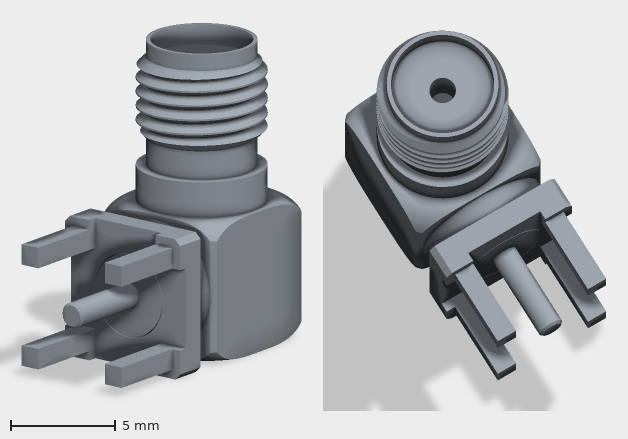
import cadquery as cq
import math

BLOCK = 7.0
BLOCK_EDGE_CHAMFER = 0.24
CROWN_RADIUS = 1.5

TOTAL_HEIGHT = 15
COLLAR_DIAMETER = 6.33
COLLAR_TOP = 8.76
NECK_DIAMETER = 5.35
THREAD_BOTTOM = 10.17
THREAD_TOP = 14.19
THREAD_DIAMETER = COLLAR_DIAMETER
THREAD_PITCH = 0.7
THREAD_CREST_WIDTH = 0.09
THREAD_FLANK_ANGLE = math.radians(30)
THREAD_EMBED = 0.022
RIDGE_START = 9.15
MOUTH_DIAMETER = 4.95
MOUTH_DEPTH = 1.0
SOCKET_DIAMETER = 1.28
SOCKET_DEPTH = 3
CONTACT_HEIGHT = 0.75

FLANGE_DIAMETER = 6.5
FLANGE_LENGTH = 1.05
PLATE_THICKNESS = 1.6
PLATE_CORNER_CHAMFER = 0.3
RELIEF_DEPTH = 0.46
FOOT_SIZE = 1.48
LEG_SIZE = 1.02
LEG_LENGTH = 3.95
PIN_DIAMETER = 1.28
PIN_CHAMFER = 0.12
INSULATOR_DIAMETER = 4.06
INSULATOR_GAP = 0.052
INSULATOR_GAP_DEPTH = 0.45

BLOCK_FRONT = -BLOCK / 2
PLATE_BACK = BLOCK_FRONT - FLANGE_LENGTH
FOOT_FACE = PLATE_BACK - PLATE_THICKNESS
RELIEF_FACE = FOOT_FACE + RELIEF_DEPTH
LEG_END = FOOT_FACE - LEG_LENGTH
AXIS_HEIGHT = BLOCK / 2


def front_plane(y):
    """Plane facing -Y, with its origin on the horizontal axis."""
    return cq.Workplane("XZ", origin=(0, y, AXIS_HEIGHT))


def elbow_block():
    """Cube with chamfered upright edges and rounded crowns at both ends."""
    block = cq.Workplane("XY").rect(BLOCK, BLOCK).extrude(BLOCK)
    block = block.edges("|Z").chamfer(BLOCK_EDGE_CHAMFER)
    crowned = cq.Workplane("XY").circle(BLOCK / 2 + CROWN_RADIUS).extrude(BLOCK)
    crowned = crowned.faces("<Z or >Z").edges().fillet(CROWN_RADIUS)
    return block.intersect(crowned)


def thread():
    """Right-hand helical ridge, trimmed to bevelled ends and rooted in the neck."""
    outer = THREAD_DIAMETER / 2
    root = NECK_DIAMETER / 2
    buried = root - THREAD_EMBED
    crest_half = THREAD_CREST_WIDTH / 2
    base_half = crest_half + (outer - buried) * math.tan(THREAD_FLANK_ANGLE)
    path = cq.Wire.makeHelix(THREAD_PITCH, TOTAL_HEIGHT - RIDGE_START, buried, cq.Vector(0, 0, RIDGE_START))
    ridge = (
        cq.Workplane("XZ", origin=(0, 0, RIDGE_START))
        .polyline([(buried, -base_half), (outer, -crest_half), (outer, crest_half), (buried, base_half)])
        .close()
        .sweep(cq.Workplane(path), isFrenet=True)
    )
    half_length = (THREAD_TOP - THREAD_BOTTOM) / 2
    envelope = (
        cq.Workplane("XZ")
        .polyline([
            (0, THREAD_BOTTOM - root),
            (root + half_length, THREAD_BOTTOM + half_length),
            (0, THREAD_TOP + root),
        ])
        .close()
        .revolve(360, (0, 0), (0, 1))
    )
    return ridge.intersect(envelope)


def barrel():
    """Collar, neck and thread, open at the top with a bevelled contact deep in its socket."""
    collar = cq.Workplane("XY", origin=(0, 0, BLOCK)).circle(COLLAR_DIAMETER / 2).extrude(COLLAR_TOP - BLOCK)
    neck = (
        cq.Workplane("XY", origin=(0, 0, COLLAR_TOP))
        .circle(NECK_DIAMETER / 2)
        .extrude(TOTAL_HEIGHT - COLLAR_TOP)
    )
    body = collar.union(neck).union(thread())
    top = cq.Workplane("XY", origin=(0, 0, TOTAL_HEIGHT))
    body = body.cut(top.circle(MOUTH_DIAMETER / 2).extrude(-MOUTH_DEPTH))
    body = body.cut(top.circle(SOCKET_DIAMETER / 2).extrude(-MOUTH_DEPTH - SOCKET_DEPTH))
    contact_base = cq.Workplane("XY", origin=(0, 0, TOTAL_HEIGHT - MOUTH_DEPTH - SOCKET_DEPTH))
    contact = contact_base.circle(SOCKET_DIAMETER / 2).extrude(CONTACT_HEIGHT)
    return body.union(contact.faces(">Z").chamfer(PIN_CHAMFER))


def mounting_plate():
    """Square plate whose front is relieved by a cross, leaving four corner feet."""
    plate = front_plane(PLATE_BACK).rect(BLOCK, BLOCK).extrude(PLATE_THICKNESS)
    plate = plate.edges("|Y").chamfer(PLATE_CORNER_CHAMFER)
    channel_width = BLOCK - 2 * FOOT_SIZE
    for width, height in ((BLOCK, channel_width), (channel_width, BLOCK)):
        plate = plate.cut(front_plane(RELIEF_FACE).rect(width, height).extrude(RELIEF_DEPTH))
    gap = (
        front_plane(RELIEF_FACE)
        .circle(INSULATOR_DIAMETER / 2 + INSULATOR_GAP)
        .circle(INSULATOR_DIAMETER / 2)
        .extrude(-INSULATOR_GAP_DEPTH)
    )
    return plate.cut(gap)


def legs():
    """Four square legs, each flush with the inner corner of its foot."""
    spacing = BLOCK - 2 * FOOT_SIZE + LEG_SIZE
    return (
        front_plane(FOOT_FACE)
        .rarray(spacing, spacing, 2, 2)
        .rect(LEG_SIZE, LEG_SIZE)
        .extrude(LEG_LENGTH)
    )


def centre_pin():
    """Round contact pin with a bevelled tip."""
    pin = front_plane(RELIEF_FACE).circle(PIN_DIAMETER / 2).extrude(RELIEF_FACE - LEG_END)
    return pin.faces("<Y").chamfer(PIN_CHAMFER)


flange = front_plane(BLOCK_FRONT).circle(FLANGE_DIAMETER / 2).extrude(FLANGE_LENGTH)

result = elbow_block().union(barrel())
for feature in (flange, mounting_plate(), legs(), centre_pin()):
    result = result.union(feature)